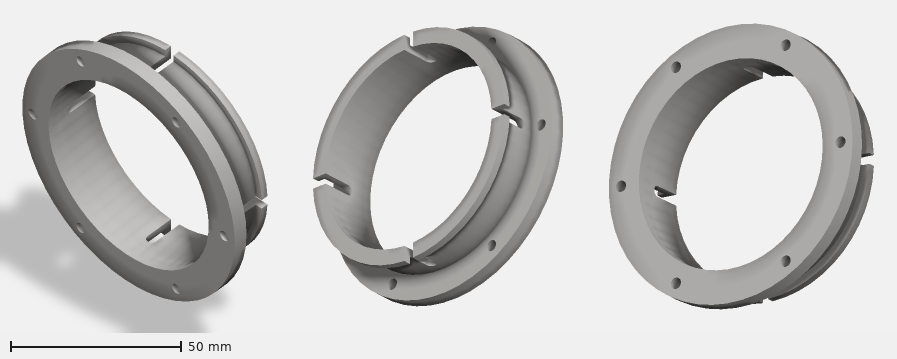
import cadquery as cq

flange_diameter = 85.5
flange_thickness = 5.05
total_length = 20.0
bore_diameter = 64.5
hub_diameter = 69.5
lip_diameter = 74.4
lip_thickness = 2.5

hole_count = 6
hole_diameter = 3.5
hole_circle_diameter = 76.95

slot_count = 4
slot_width = 3.3
slot_depth = 11.7


def disc(diameter, start, length):
    """Solid cylinder along +Y, beginning at Y = start."""
    plane = cq.Plane(origin=(0, start, 0), xDir=(1, 0, 0), normal=(0, 1, 0))
    return cq.Workplane(plane).circle(diameter / 2).extrude(length)


def flange_holes():
    """Through holes evenly spaced on the bolt circle."""
    plane = cq.Plane(origin=(0, 0, 0), xDir=(1, 0, 0), normal=(0, 1, 0))
    return (
        cq.Workplane(plane)
        .polarArray(hole_circle_diameter / 2, 0, 360, hole_count)
        .circle(hole_diameter / 2)
        .extrude(flange_thickness)
    )


def wall_slot(angle):
    """Round-ended slot through one side of the wall, open at the lip face."""
    half_width = slot_width / 2
    crown = total_length - slot_depth
    arc_start = crown + half_width
    cutter = (
        cq.Workplane("XY")
        .moveTo(-half_width, total_length)
        .lineTo(-half_width, arc_start)
        .threePointArc((0, crown), (half_width, arc_start))
        .lineTo(half_width, total_length)
        .close()
        .extrude(flange_diameter / 2)
    )
    return cutter.rotate((0, 0, 0), (0, 1, 0), angle)


body = disc(flange_diameter, 0, flange_thickness)
body = body.union(disc(hub_diameter, 0, total_length))
body = body.union(disc(lip_diameter, total_length - lip_thickness, lip_thickness))
body = body.cut(disc(bore_diameter, 0, total_length))

body = body.cut(flange_holes())

for index in range(slot_count):
    body = body.cut(wall_slot(index * 360 / slot_count))

result = body